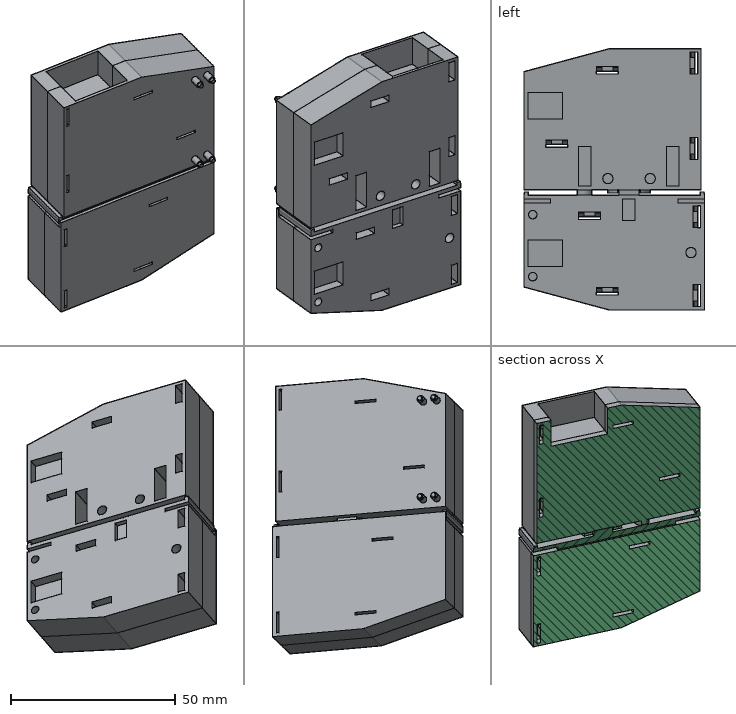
import cadquery as cq
LENGTH = 55.0
WIDTH = 18.8
SPLIT = WIDTH / 2
TOTAL_HEIGHT = 79.6
UPPER_HEIGHT = 43.0
HOUSING_GAP = 1.6
UPPER_BOTTOM = TOTAL_HEIGHT - UPPER_HEIGHT
LOWER_TOP = UPPER_BOTTOM - HOUSING_GAP
UPPER_SETBACK = 1.0

SLOPE_RUN = 26.0
SLOPE_DROP = 7.0
KNEE_Y = LENGTH - SLOPE_RUN

SNAP_LENGTH = 6.6
SNAP_WIDTH = 2.2
SNAP_OPENING = 0.8
SNAP_LAND = 0.2
SNAP_RAMP = 2.4
HOOK_LENGTH = 3.35
HOOK_GAP = 0.95
UPPER_FLAT_SNAPS = [(29.6, 71.9), (45.0, 49.6)]
LOWER_FLAT_SNAPS = [(35.0, 27.6), (29.6, 4.6)]
UPPER_UPRIGHT_SNAPS = [(2.15, 75.2), (2.15, 49.2)]
LOWER_UPRIGHT_SNAPS = [(1.3, 28.4), (1.3, 4.45)]

LABEL_Y = 43.2
LABEL_LENGTH = 10.5
LABEL_HEIGHT = 8.0
LABEL_DEPTH = 3.2
UPPER_LABEL_Z = 58.2
LOWER_LABEL_Z = 13.3

SLOT_WIDTH = 3.8
TALL_SLOT_YS = [34.6, 7.7]
TALL_SLOT_Z = 37.7
TALL_SLOT_HEIGHT = 12.1
PIVOT_Y = 23.0
LARGE_HOLE = 3.1
UPPER_HOLE_OFFSET = 6.45
UPPER_HOLE_Z = 40.0

TOP_POCKET_WALL = 1.0
TOP_POCKET_Y = 5.8
TOP_POCKET_LENGTH = 18.6
TOP_POCKET_DEPTH = 9.2

DISC_RADIUS = 6.5
DISC_HEIGHT = 1.0
DISC_SLOT = 6.8
BLOCK_LENGTH = 6.2
BLOCK_INSET = 2.4
PEG_Y = 36.5
PEG_RADIUS = 2.2

PIN_YS = [52.3, 48.0]
PIN_ZS = [70.5, 39.4]
PIN_DIAMETER = 2.15
PIN_LENGTH = 3.0
TIP_DIAMETER = 1.35
TIP_LENGTH = 0.95

SMALL_HOLE = 2.55
SMALL_HOLE_Y = 52.3
SMALL_HOLE_ZS = [29.05, 10.2]
LARGE_HOLE_Y = 4.1
LARGE_HOLE_Z = 17.5
SHORT_POCKET_Y = 21.2
SHORT_POCKET_Z = 27.3
SHORT_POCKET_HEIGHT = 6.45
SHORT_POCKET_DEPTH = 1.6

PLATE_END = 17.4
PLATE_END_GAP = 0.3
PLATE_FLOOR_GAP = 0.2
GROOVE_BOTTOM = 32.6
GROOVE_TOP = 33.75
GROOVE_RUN = 8.0
LIP_HEIGHT = 0.95
LIP_WIDTH = 1.35
LIP_DRAFT = 0.15


def box(x0, x1, y0, y1, z0, z1):
    return cq.Workplane("XY").box(x1 - x0, y1 - y0, z1 - z0, centered=False).translate((x0, y0, z0))


def slab(points, x0, x1):
    """A (y, z) outline extruded from x0 to x1."""
    return cq.Workplane("YZ").workplane(offset=x0).polyline(points).close().extrude(x1 - x0)


def left_hole(diameter, y, z):
    return cq.Workplane("YZ").center(y, z).circle(diameter / 2).extrude(SPLIT)


def cut_all(body, cutters):
    for cutter in cutters:
        body = body.cut(cutter)
    return body




def snap_cutter():
    """A snap window lying along Y, centred on Y = 0, with its through opening at Z = 0."""
    window = box(0, SPLIT, -SNAP_LENGTH / 2, SNAP_LENGTH / 2, 0, SNAP_WIDTH)
    ramp_outline = [
        (SPLIT, 0),
        (SPLIT, SNAP_WIDTH - SNAP_LAND),
        (SPLIT + SNAP_RAMP, SNAP_OPENING),
        (WIDTH, SNAP_OPENING),
        (WIDTH, 0),
    ]
    ramp = cq.Workplane("XZ").polyline(ramp_outline).close().extrude(SNAP_LENGTH / 2, both=True)
    hook = box(SPLIT, WIDTH, -HOOK_LENGTH / 2, HOOK_LENGTH / 2, HOOK_GAP, SNAP_WIDTH)
    return window.union(ramp.cut(hook))


def snap_cutters(flat_places, upright_places):
    flat = snap_cutter()
    upright = flat.rotate((0, 0, 0), (1, 0, 0), -90)
    cutters = [flat.translate((0, y, z)) for y, z in flat_places]
    cutters += [upright.translate((0, y, z)) for y, z in upright_places]
    return cutters


def label_pocket(z):
    return box(0, LABEL_DEPTH, LABEL_Y, LABEL_Y + LABEL_LENGTH, z, z + LABEL_HEIGHT)




def top_pocket():
    return box(
        TOP_POCKET_WALL, WIDTH - TOP_POCKET_WALL,
        TOP_POCKET_Y, TOP_POCKET_Y + TOP_POCKET_LENGTH,
        TOTAL_HEIGHT - TOP_POCKET_DEPTH, TOTAL_HEIGHT,
    )


def half_peg(x0, x1):
    """The part of the round peg below the upper housing that lies between x0 and x1."""
    peg = cq.Workplane("XY").workplane(offset=LOWER_TOP).center(SPLIT, PEG_Y)
    peg = peg.circle(PEG_RADIUS).extrude(HOUSING_GAP)
    return peg.intersect(box(x0, x1, 0, LENGTH, LOWER_TOP, UPPER_BOTTOM))


def upper_half(x0, x1):
    outline = [
        (UPPER_SETBACK, UPPER_BOTTOM),
        (LENGTH, UPPER_BOTTOM),
        (LENGTH, TOTAL_HEIGHT - SLOPE_DROP),
        (KNEE_Y, TOTAL_HEIGHT),
        (UPPER_SETBACK, TOTAL_HEIGHT),
    ]
    cutters = snap_cutters(UPPER_FLAT_SNAPS, UPPER_UPRIGHT_SNAPS)
    cutters.append(top_pocket())
    return cut_all(slab(outline, x0, x1), cutters).union(half_peg(x0, x1))


def pivot_disc():
    """Disc below the upper housing, slotted along X to clear the block of the lower housing."""
    disc = cq.Workplane("XY").workplane(offset=UPPER_BOTTOM).center(SPLIT, PIVOT_Y)
    disc = disc.circle(DISC_RADIUS).extrude(-DISC_HEIGHT)
    slot = box(0, WIDTH, PIVOT_Y - DISC_SLOT / 2, PIVOT_Y + DISC_SLOT / 2, LOWER_TOP, UPPER_BOTTOM)
    return disc.cut(slot)


def make_upper_left():
    cutters = [label_pocket(UPPER_LABEL_Z)]
    for y in TALL_SLOT_YS:
        cutters.append(box(0, SPLIT, y, y + SLOT_WIDTH, TALL_SLOT_Z, TALL_SLOT_Z + TALL_SLOT_HEIGHT))
    for side in (-1, 1):
        cutters.append(left_hole(LARGE_HOLE, PIVOT_Y + side * UPPER_HOLE_OFFSET, UPPER_HOLE_Z))
    return cut_all(upper_half(0, SPLIT), cutters).union(pivot_disc())


def pin(y, z):
    stem = cq.Workplane("YZ").workplane(offset=WIDTH).center(y, z)
    stem = stem.circle(PIN_DIAMETER / 2).extrude(PIN_LENGTH)
    return stem.faces(">X").workplane().circle(TIP_DIAMETER / 2).extrude(TIP_LENGTH)


def make_upper_right():
    body = upper_half(SPLIT, WIDTH)
    for y in PIN_YS:
        for z in PIN_ZS:
            body = body.union(pin(y, z))
    return body




def lower_half(x0, x1):
    outline = [
        (0, 0),
        (KNEE_Y, 0),
        (LENGTH, SLOPE_DROP),
        (LENGTH, LOWER_TOP),
        (0, LOWER_TOP),
    ]
    return cut_all(slab(outline, x0, x1), snap_cutters(LOWER_FLAT_SNAPS, LOWER_UPRIGHT_SNAPS))


def cover_plate():
    return box(0, PLATE_END, 0, LENGTH, GROOVE_BOTTOM + PLATE_FLOOR_GAP, LOWER_TOP)


def end_grooves():
    grooves = []
    for y in (0, LENGTH - GROOVE_RUN):
        grooves.append(box(0, PLATE_END, y, y + GROOVE_RUN, GROOVE_BOTTOM, GROOVE_TOP))
    return grooves


def end_lips():
    """Upright lips along both ends of the cover plate, drafted on their outer faces."""
    front = [
        (0, LOWER_TOP),
        (LIP_DRAFT, LOWER_TOP + LIP_HEIGHT),
        (LIP_WIDTH, LOWER_TOP + LIP_HEIGHT),
        (LIP_WIDTH, LOWER_TOP),
    ]
    back = [(LENGTH - y, z) for y, z in front]
    return slab(front, 0, PLATE_END).union(slab(back, 0, PLATE_END))


def pivot_block():
    return box(
        BLOCK_INSET, WIDTH - BLOCK_INSET,
        PIVOT_Y - BLOCK_LENGTH / 2, PIVOT_Y + BLOCK_LENGTH / 2,
        LOWER_TOP, UPPER_BOTTOM,
    )


def short_pocket():
    return box(
        0, SHORT_POCKET_DEPTH,
        SHORT_POCKET_Y, SHORT_POCKET_Y + SLOT_WIDTH,
        SHORT_POCKET_Z, SHORT_POCKET_Z + SHORT_POCKET_HEIGHT,
    )


def make_lower_left():
    cutters = [label_pocket(LOWER_LABEL_Z), short_pocket()]
    cutters.append(left_hole(LARGE_HOLE, LARGE_HOLE_Y, LARGE_HOLE_Z))
    for z in SMALL_HOLE_ZS:
        cutters.append(left_hole(SMALL_HOLE, SMALL_HOLE_Y, z))
    cutters += end_grooves()
    body = lower_half(0, SPLIT).union(cover_plate())
    return cut_all(body, cutters).union(end_lips()).union(pivot_block())


def make_lower_right():
    recess = box(SPLIT, PLATE_END + PLATE_END_GAP, 0, LENGTH, GROOVE_BOTTOM, LOWER_TOP)
    return lower_half(SPLIT, WIDTH).cut(recess)


upper_left = make_upper_left()
upper_right = make_upper_right()
lower_left = make_lower_left()
lower_right = make_lower_right()

result = cq.Compound.makeCompound(
    [upper_left.val(), upper_right.val(), lower_left.val(), lower_right.val()]
)